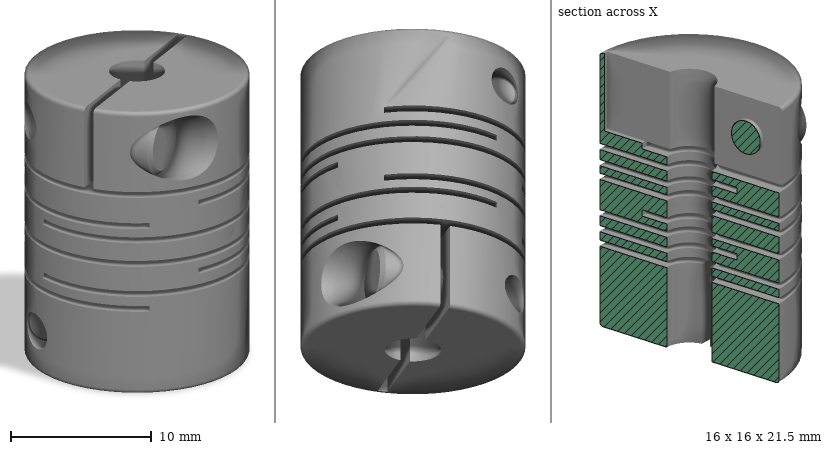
import cadquery as cq

LENGTH = 21.5
BODY_DIAMETER = 16.0
BORE_DIAMETER = 4.0
RIM_FILLET = 0.3

FLEXURE_WIDTH = 0.45
FLEXURE_REACH = 4.2

FLEXURE_CUTS = [
    (6.06, "-Y"),
    (7.18, "+Y"),
    (8.45, "-X"),
    (9.52, "+X"),
    (11.33, "-Y"),
    (12.38, "+Y"),
    (13.63, "+X"),
    (14.77, "-X"),
]

SIDE_TURN = {"-Y": 0, "+X": 90, "+Y": 180, "-X": 270}

SLIT_WIDTH = 0.7
SLIT_REACH = 7.55
TOP_SLIT_DEPTH = 6.06
BOTTOM_SLIT_DEPTH = 6.65

SCREW_OFFSET = 5.0
SCREW_FROM_END = 3.0
SHANK_DIAMETER = 2.6
TIP_CHAMFER = 0.25
TIP_POSITION = -4.99
HEAD_DIAMETER = 4.5
HEAD_HEIGHT = 2.5
HEAD_CHAMFER = 0.32
HEAD_SEAT = 2.02
COUNTERBORE_DIAMETER = 4.85


def side_cut(width, reach, z_low, z_high):
    """Block that opens to -Y, with its inner end at Y = reach."""
    length = reach + BODY_DIAMETER
    return (
        cq.Workplane("XY", origin=(0, reach - length / 2, z_low))
        .rect(width, length)
        .extrude(z_high - z_low)
    )


def screw_cylinder(diameter, x_start, x_end):
    """Cylinder on the axis of the top clamp screw."""
    origin = (x_start, -SCREW_OFFSET, LENGTH - SCREW_FROM_END)
    return cq.Workplane("YZ", origin=origin).circle(diameter / 2).extrude(x_end - x_start)


def top_to_bottom(shape):
    """Half turn about the X = Y diagonal at mid height: -Y goes to -X and +X to +Y."""
    middle = LENGTH / 2
    return shape.rotate((0, 0, middle), (0.22, 0.22, middle), 180)


def make_body():
    body = cq.Workplane("XY").circle(BODY_DIAMETER / 2).extrude(LENGTH)
    body = body.faces("<Z or >Z").edges().fillet(RIM_FILLET)
    return body.cut(cq.Workplane("XY").circle(BORE_DIAMETER / 2).extrude(LENGTH))


def flexure_cut(depth, side):
    z_high = LENGTH - depth
    cut = side_cut(2 * BODY_DIAMETER, FLEXURE_REACH, z_high - FLEXURE_WIDTH, z_high)
    return cut.rotate((0, 0, 0), (0, 0, 1), SIDE_TURN[side])


def clamp_slit(depth):
    return side_cut(SLIT_WIDTH, SLIT_REACH, LENGTH - depth, LENGTH)


def screw_hole():
    """Through hole with a counterbore that opens to +X."""
    hole = screw_cylinder(SHANK_DIAMETER, -BODY_DIAMETER, HEAD_SEAT)
    return hole.union(screw_cylinder(COUNTERBORE_DIAMETER, HEAD_SEAT, BODY_DIAMETER))


def clamp_screw():
    """Screw with its head seated towards +X and its tip sunk in the hole at -X."""
    head = screw_cylinder(HEAD_DIAMETER, HEAD_SEAT, HEAD_SEAT + HEAD_HEIGHT)
    head = head.faces(">X").edges().chamfer(HEAD_CHAMFER)
    shank = screw_cylinder(SHANK_DIAMETER, TIP_POSITION, HEAD_SEAT)
    shank = shank.faces("<X").edges().chamfer(TIP_CHAMFER)
    return head.union(shank)


result = make_body()

for cut_depth, open_side in FLEXURE_CUTS:
    result = result.cut(flexure_cut(cut_depth, open_side))

result = result.cut(clamp_slit(TOP_SLIT_DEPTH))
result = result.cut(top_to_bottom(clamp_slit(BOTTOM_SLIT_DEPTH)))

result = result.cut(screw_hole()).cut(top_to_bottom(screw_hole()))
result = result.union(clamp_screw()).union(top_to_bottom(clamp_screw()))